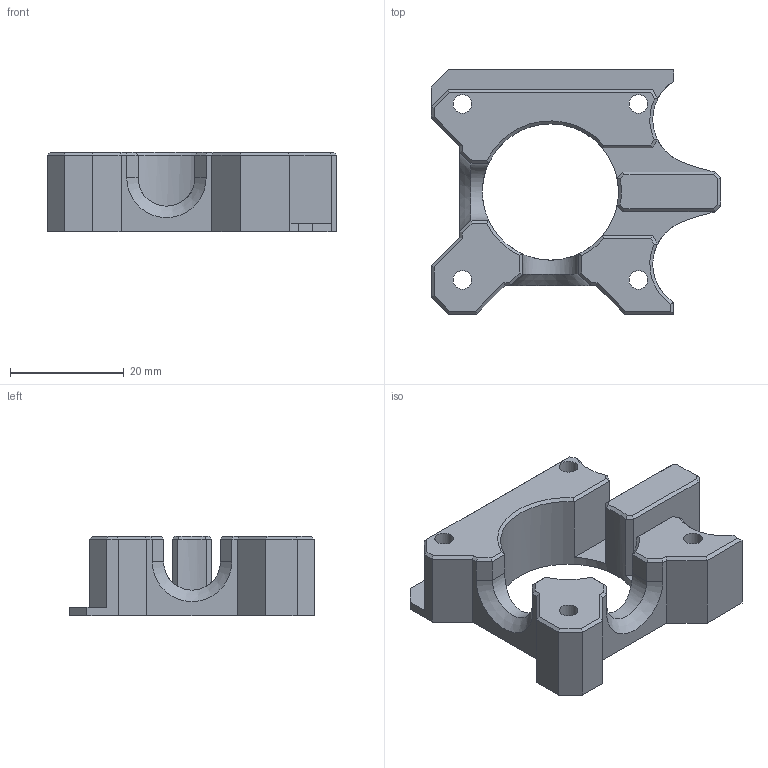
import cadquery as cq
import math

HEIGHT = 14.0
FLANGE_THICKNESS = 1.5
LEFT_X = -21.0
RIGHT_X = 21.7
HALF_WIDTH = 21.5
CORNER_CUT = 3.0
BODY_BACK_Y = 18.0
TOP_CHAMFER = 0.5

BORE_RADIUS = 12.0
SCREW_DIAMETER = 3.3
SCREW_SPACING = 31.0
NOTCH_HALF_WIDTH = 8.0
NOTCH_DEPTH = 5.0
NOTCH_LEFT_X = LEFT_X + NOTCH_DEPTH
NOTCH_FRONT_Y = -HALF_WIDTH + NOTCH_DEPTH
NOTCH_MOUTH_HALF_WIDTH = NOTCH_HALF_WIDTH + NOTCH_DEPTH

SLOT_RADIUS = 5.0
SLOT_FLARE = 2.0
SLOT_CENTER_Z = 9.5

RECESS_RADIUS = 8.0
RECESS_X = 26.0
RECESS_Y = 12.75
BODY_RIGHT_X = 18.0
RECESS_UPPER_Y = 16.4
RECESS_LOWER_Y = 9.2
CHANNEL_HALF_WIDTH = 7.75

BLOCK_HALF_WIDTH = 3.5
BLOCK_END_X = 30.0
BLOCK_CORNER_CUT = 1.0
TAPER_START_X = 23.25
TAPER_BEND = (25.75, 4.35)


def mirrored(point):
    return (point[0], -point[1])


def recess_point_at_x(x, side):
    """Point on the +Y recess circle; side is +1 above its center and -1 below it."""
    return (x, RECESS_Y + side * math.sqrt(RECESS_RADIUS**2 - (x - RECESS_X) ** 2))


def recess_point_at_y(y):
    return (RECESS_X - math.sqrt(RECESS_RADIUS**2 - (y - RECESS_Y) ** 2), y)


RECESS_LEFTMOST = (RECESS_X - RECESS_RADIUS, RECESS_Y)
RECESS_RIM = recess_point_at_x(RIGHT_X, 1)
TAPER_START = recess_point_at_x(TAPER_START_X, -1)
BLOCK_SHOULDER = (BLOCK_END_X - BLOCK_CORNER_CUT, BLOCK_HALF_WIDTH)
BLOCK_TIP = (BLOCK_END_X, BLOCK_HALF_WIDTH - BLOCK_CORNER_CUT)


def start_left_and_front(back_y):
    """Outline from the back-left corner, counterclockwise, to the front-right corner."""
    return (
        cq.Workplane("XY")
        .moveTo(LEFT_X + CORNER_CUT, back_y)
        .lineTo(LEFT_X, back_y - CORNER_CUT)
        .lineTo(LEFT_X, NOTCH_MOUTH_HALF_WIDTH)
        .lineTo(NOTCH_LEFT_X, NOTCH_HALF_WIDTH)
        .lineTo(NOTCH_LEFT_X, -NOTCH_HALF_WIDTH)
        .lineTo(LEFT_X, -NOTCH_MOUTH_HALF_WIDTH)
        .lineTo(LEFT_X, -HALF_WIDTH + CORNER_CUT)
        .lineTo(LEFT_X + CORNER_CUT, -HALF_WIDTH)
        .lineTo(-NOTCH_MOUTH_HALF_WIDTH, -HALF_WIDTH)
        .lineTo(-NOTCH_HALF_WIDTH, NOTCH_FRONT_Y)
        .lineTo(NOTCH_HALF_WIDTH, NOTCH_FRONT_Y)
        .lineTo(NOTCH_MOUTH_HALF_WIDTH, -HALF_WIDTH)
        .lineTo(RIGHT_X, -HALF_WIDTH)
        .lineTo(*mirrored(RECESS_RIM))
    )


def make_flange():
    return (
        start_left_and_front(HALF_WIDTH)
        .threePointArc(mirrored(RECESS_LEFTMOST), mirrored(TAPER_START))
        .lineTo(*mirrored(TAPER_BEND))
        .lineTo(*mirrored(BLOCK_SHOULDER))
        .lineTo(*mirrored(BLOCK_TIP))
        .lineTo(*BLOCK_TIP)
        .lineTo(*BLOCK_SHOULDER)
        .lineTo(*TAPER_BEND)
        .lineTo(*TAPER_START)
        .threePointArc(RECESS_LEFTMOST, RECESS_RIM)
        .lineTo(RIGHT_X, HALF_WIDTH)
        .close()
        .extrude(FLANGE_THICKNESS)
        .cut(make_bore())
    )


def make_bore():
    return cq.Workplane("XY").circle(BORE_RADIUS).extrude(HEIGHT)


def make_slot():
    """Slot toward -Y, from the bore axis to the notch face, flared at its mouth."""
    flare_start = -NOTCH_FRONT_Y - SLOT_FLARE
    mouth_radius = SLOT_RADIUS + SLOT_FLARE
    opening_height = HEIGHT - SLOT_CENTER_Z

    def u_profile(workplane, radius):
        return (
            workplane.moveTo(-radius, opening_height)
            .lineTo(-radius, 0)
            .threePointArc((0, -radius), (radius, 0))
            .lineTo(radius, opening_height)
            .close()
        )

    axis_plane = cq.Workplane("XZ", origin=(0, 0, SLOT_CENTER_Z))
    straight = u_profile(axis_plane, SLOT_RADIUS).extrude(flare_start)
    inner_profile = u_profile(axis_plane.workplane(offset=flare_start), SLOT_RADIUS)
    flare = u_profile(inner_profile.workplane(offset=SLOT_FLARE), mouth_radius).loft(ruled=True)
    return straight.union(flare)


def make_body():
    """Corner posts and back wall, open at the right where the stop block stands."""
    body = (
        start_left_and_front(BODY_BACK_Y)
        .threePointArc(mirrored(RECESS_LEFTMOST), mirrored(recess_point_at_y(RECESS_LOWER_Y)))
        .lineTo(BODY_RIGHT_X, -CHANNEL_HALF_WIDTH)
        .lineTo(0, -CHANNEL_HALF_WIDTH)
        .lineTo(0, CHANNEL_HALF_WIDTH)
        .lineTo(BODY_RIGHT_X, CHANNEL_HALF_WIDTH)
        .lineTo(*recess_point_at_y(RECESS_LOWER_Y))
        .threePointArc(RECESS_LEFTMOST, recess_point_at_y(RECESS_UPPER_Y))
        .lineTo(BODY_RIGHT_X, BODY_BACK_Y)
        .close()
        .extrude(HEIGHT)
    )
    front_slot = make_slot()
    left_slot = front_slot.rotate((0, 0, 0), (0, 0, 1), -90).translate(
        (NOTCH_LEFT_X - NOTCH_FRONT_Y, 0, 0)
    )
    body = body.cut(make_bore()).cut(front_slot).cut(left_slot)
    return body.faces(">Z").chamfer(TOP_CHAMFER)


def make_block():
    inner_y = BLOCK_HALF_WIDTH - BLOCK_CORNER_CUT
    inner_x = math.sqrt(BORE_RADIUS**2 - inner_y**2)
    return (
        cq.Workplane("XY")
        .moveTo(inner_x, -inner_y)
        .threePointArc((BORE_RADIUS, 0), (inner_x, inner_y))
        .lineTo(inner_x + BLOCK_CORNER_CUT, BLOCK_HALF_WIDTH)
        .lineTo(*BLOCK_SHOULDER)
        .lineTo(*BLOCK_TIP)
        .lineTo(*mirrored(BLOCK_TIP))
        .lineTo(*mirrored(BLOCK_SHOULDER))
        .lineTo(inner_x + BLOCK_CORNER_CUT, -BLOCK_HALF_WIDTH)
        .close()
        .extrude(HEIGHT)
        .faces(">Z")
        .chamfer(TOP_CHAMFER)
    )


def make_screw_holes():
    return (
        cq.Workplane("XY")
        .rect(SCREW_SPACING, SCREW_SPACING, forConstruction=True)
        .vertices()
        .circle(SCREW_DIAMETER / 2)
        .extrude(HEIGHT)
    )


result = make_flange().union(make_body()).union(make_block()).cut(make_screw_holes())